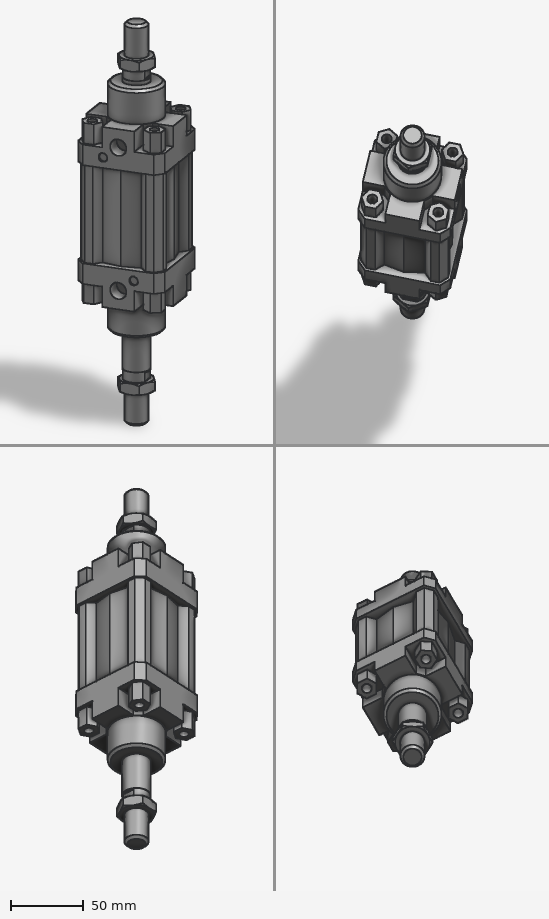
import cadquery as cq
import math


BARREL_LENGTH = 72.0
BARREL_WIDTH = 61.5
BARREL_CORNER_CHAMFER = 5.0
RECESS_HALF_WIDTH = 19.7
RECESS_DEPTH = 5.3
RIDGE_DEPTH = 2.5

CAP_WIDTH = 65.0
CAP_LENGTH = 30.0
CAP_CORNER_CHAMFER = 6.0
PAD_WIDTH = 24.0
POCKET_DEPTH = 15.0
POCKET_INNER_LEG = 5.0

BOSS_DIAMETER = 40.0
BOSS_LENGTH = 25.0
BOSS_CHAMFER = 2.0

TIE_OFFSET = 23.2
TIE_NUT_FLATS = 13.2
TIE_HOLE_DIAMETER = 6.8
TIE_HOLE_DEPTH = POCKET_DEPTH
DRILL_POINT_ANGLE = 118

PORT_DIAMETER = 12.0
PORT_DEPTH = 11.8
PORT_INSET = 13.5
SCREW_DIAMETER = 6.5
SCREW_DEPTH = 1.5
SCREW_INSET = 22.3
SCREW_OFFSET = 11.5

TOTAL_LENGTH = 294.0
ROD_DIAMETER = 20.0
ROD_BOTTOM_REACH = 68.8
NECK_DIAMETER = 19.5
NECK_LENGTH = 7.5
NECK_FLATS = 16.8
FLAT_LENGTH = 6.8
THREAD_DIAMETER = 16.8
THREAD_CHAMFER = 2.0

NUT_FLATS = 24.0
NUT_HEIGHT = 8.2
NUT_CHAMFER_ANGLE = 30
THREAD_BEYOND_NUT = 24.5

CAP_INNER_Z = BARREL_LENGTH / 2
CAP_OUTER_Z = CAP_INNER_Z + CAP_LENGTH
BOSS_END_Z = CAP_OUTER_Z + BOSS_LENGTH
THREAD_LENGTH = THREAD_BEYOND_NUT + NUT_HEIGHT
ROD_BOTTOM_Z = -BOSS_END_Z - ROD_BOTTOM_REACH
ROD_TOP_Z = ROD_BOTTOM_Z + TOTAL_LENGTH


def hexagon_diameter(across_flats):
    """Corner-to-corner size of a hexagon."""
    return across_flats / math.cos(math.radians(30))


def make_barrel():
    """Square profile with chamfered corners and a ridged recess along each side."""
    half = BARREL_WIDTH / 2
    floor_half_width = RECESS_HALF_WIDTH - RECESS_DEPTH
    barrel = (
        cq.Workplane("XY", origin=(0, 0, -CAP_INNER_Z))
        .rect(BARREL_WIDTH, BARREL_WIDTH)
        .extrude(BARREL_LENGTH)
        .edges("|Z")
        .chamfer(BARREL_CORNER_CHAMFER)
    )
    recess = (
        cq.Workplane("XY", origin=(0, 0, -CAP_INNER_Z))
        .moveTo(-RECESS_HALF_WIDTH, -half)
        .lineTo(-floor_half_width, RECESS_DEPTH - half)
        .lineTo(0, RIDGE_DEPTH - half)
        .lineTo(floor_half_width, RECESS_DEPTH - half)
        .lineTo(RECESS_HALF_WIDTH, -half)
        .close()
        .extrude(BARREL_LENGTH)
    )
    for side in range(4):
        barrel = barrel.cut(recess.rotate((0, 0, 0), (0, 0, 1), 90 * side))
    return barrel


def make_corner_pocket():
    """Cutter for the pocket at the +X +Y corner of the top cap."""
    inner = PAD_WIDTH / 2
    outer = CAP_WIDTH / 2
    return (
        cq.Workplane("XY", origin=(0, 0, CAP_OUTER_Z - POCKET_DEPTH))
        .moveTo(inner, outer)
        .lineTo(inner, inner + POCKET_INNER_LEG)
        .lineTo(inner + POCKET_INNER_LEG, inner)
        .lineTo(outer, inner)
        .lineTo(outer, outer)
        .close()
        .extrude(POCKET_DEPTH)
    )


def make_tie_nut():
    """Hexagonal tie-rod nut in the +X +Y pocket, one pair of corners along X."""
    return (
        cq.Workplane("XY", origin=(TIE_OFFSET, TIE_OFFSET, CAP_OUTER_Z - POCKET_DEPTH))
        .polygon(6, hexagon_diameter(TIE_NUT_FLATS))
        .extrude(POCKET_DEPTH)
    )


def make_tie_hole():
    """Cutter for the drilled hole in a tie-rod nut, with its conical bottom."""
    radius = TIE_HOLE_DIAMETER / 2
    point_depth = radius / math.tan(math.radians(DRILL_POINT_ANGLE / 2))
    return (
        cq.Workplane("XZ")
        .polyline([(0, 0), (radius, 0), (radius, -TIE_HOLE_DEPTH), (0, -TIE_HOLE_DEPTH - point_depth)])
        .close()
        .revolve(360, (0, 0, 0), (0, 1, 0))
        .translate((TIE_OFFSET, TIE_OFFSET, CAP_OUTER_Z))
    )


def make_front_hole(x, z, diameter, depth):
    """Cutter for a flat-bottomed hole in the -Y face of a cap."""
    return (
        cq.Workplane("XZ", origin=(x, depth - CAP_WIDTH / 2, z))
        .circle(diameter / 2)
        .extrude(depth)
    )


def make_top_cap(screw_x):
    """Top end cap with its pockets, tie-rod nuts, boss and port, and a screw hole at screw_x."""
    cap = (
        cq.Workplane("XY", origin=(0, 0, CAP_INNER_Z))
        .rect(CAP_WIDTH, CAP_WIDTH)
        .extrude(CAP_LENGTH)
        .edges("|Z")
        .chamfer(CAP_CORNER_CHAMFER)
    )
    pocket = make_corner_pocket()
    tie_nut = make_tie_nut()
    tie_hole = make_tie_hole()
    for corner in range(4):
        angle = 90 * corner
        cap = cap.cut(pocket.rotate((0, 0, 0), (0, 0, 1), angle))
        cap = cap.union(tie_nut.rotate((0, 0, 0), (0, 0, 1), angle))
        cap = cap.cut(tie_hole.rotate((0, 0, 0), (0, 0, 1), angle))
    boss = (
        cq.Workplane("XY", origin=(0, 0, CAP_OUTER_Z))
        .circle(BOSS_DIAMETER / 2)
        .extrude(BOSS_LENGTH)
        .faces(">Z")
        .chamfer(BOSS_CHAMFER)
    )
    port = make_front_hole(0, CAP_OUTER_Z - PORT_INSET, PORT_DIAMETER, PORT_DEPTH)
    screw_hole = make_front_hole(screw_x, CAP_OUTER_Z - SCREW_INSET, SCREW_DIAMETER, SCREW_DEPTH)
    return cap.union(boss).cut(port).cut(screw_hole)


def make_housing():
    """Barrel and two end caps, with the rod's bore running through."""
    top_cap = make_top_cap(-SCREW_OFFSET)
    bottom_cap = make_top_cap(SCREW_OFFSET).mirror("XY")
    bore = cq.Workplane("XY", origin=(0, 0, -BOSS_END_Z)).circle(ROD_DIAMETER / 2).extrude(2 * BOSS_END_Z)
    return make_barrel().union(top_cap).union(bottom_cap).cut(bore)


def make_rod_end():
    """Neck with two flats, then the thread, pointing up from Z = 0."""
    neck = cq.Workplane("XY").circle(NECK_DIAMETER / 2).extrude(NECK_LENGTH)
    flat_section = (
        cq.Workplane("XY", origin=(0, 0, NECK_LENGTH - FLAT_LENGTH))
        .rect(2 * NECK_DIAMETER, 2 * NECK_DIAMETER)
        .rect(NECK_FLATS, 2 * NECK_DIAMETER)
        .extrude(FLAT_LENGTH)
    )
    thread = (
        cq.Workplane("XY", origin=(0, 0, NECK_LENGTH))
        .circle(THREAD_DIAMETER / 2)
        .extrude(THREAD_LENGTH)
        .faces(">Z")
        .chamfer(THREAD_CHAMFER)
    )
    return neck.cut(flat_section).union(thread)


def make_rod():
    """Through rod with a necked and threaded end at both ends."""
    end_length = NECK_LENGTH + THREAD_LENGTH
    shank = (
        cq.Workplane("XY", origin=(0, 0, ROD_BOTTOM_Z + end_length))
        .circle(ROD_DIAMETER / 2)
        .extrude(TOTAL_LENGTH - 2 * end_length)
    )
    rod_end = make_rod_end()
    top_end = rod_end.translate((0, 0, ROD_TOP_Z - end_length))
    bottom_end = rod_end.rotate((0, 0, 0), (1, 0, 0), 180).translate((0, 0, ROD_BOTTOM_Z + end_length))
    return shank.union(top_end).union(bottom_end)


def make_nut(bottom_z):
    """Hexagonal rod nut, its corners chamfered at both faces."""
    corner_diameter = hexagon_diameter(NUT_FLATS)
    corner_height = (corner_diameter - NUT_FLATS) / 2 * math.tan(math.radians(NUT_CHAMFER_ANGLE))
    rounding = (
        cq.Workplane("XZ")
        .moveTo(0, 0)
        .lineTo(NUT_FLATS / 2, 0)
        .lineTo(corner_diameter / 2, corner_height)
        .lineTo(corner_diameter / 2, NUT_HEIGHT - corner_height)
        .lineTo(NUT_FLATS / 2, NUT_HEIGHT)
        .lineTo(0, NUT_HEIGHT)
        .close()
        .revolve(360, (0, 0, 0), (0, 1, 0))
    )
    nut = cq.Workplane("XY").polygon(6, corner_diameter).extrude(NUT_HEIGHT).intersect(rounding)
    bore = cq.Workplane("XY").circle(THREAD_DIAMETER / 2).extrude(NUT_HEIGHT)
    return nut.cut(bore).translate((0, 0, bottom_z))


housing = make_housing()
rod = make_rod()
nut_bottoms = [ROD_BOTTOM_Z + THREAD_BEYOND_NUT, ROD_TOP_Z - THREAD_LENGTH]
nuts = [make_nut(bottom_z) for bottom_z in nut_bottoms]

result = cq.Compound.makeCompound([housing.val(), rod.val(), *[nut.val() for nut in nuts]])